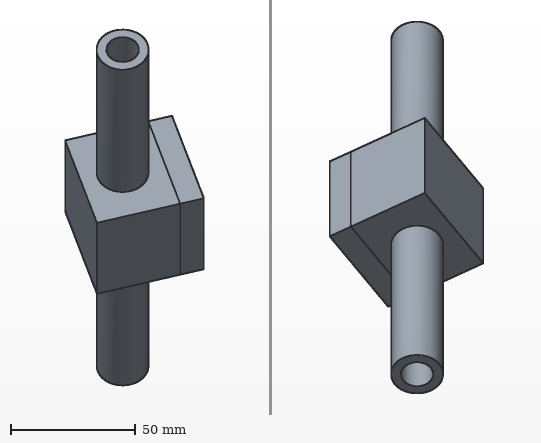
import cadquery as cq

tube_length = 200.0
tube_diameter = 21.0
bore_diameter = 13.0
block_width = 45.0
block_height = 45.0
block_depth = 35.0
plate_thickness = 10.0


def make_tube_block():
    """Block with a long tube standing out of its top and bottom, bored right through."""
    block = cq.Workplane("XY").box(block_width, block_depth, block_height)
    tube = cq.Workplane("XY").circle(tube_diameter / 2).extrude(tube_length / 2, both=True)
    bore = cq.Workplane("XY").circle(bore_diameter / 2).extrude(tube_length / 2, both=True)
    return block.union(tube).cut(bore)


def make_back_plate():
    """Flat plate lying flush against the +Y face of the block."""
    plate_center_y = (block_depth + plate_thickness) / 2
    plate = cq.Workplane("XY").box(block_width, plate_thickness, block_height)
    return plate.translate((0, plate_center_y, 0))


tube_block = make_tube_block()
back_plate = make_back_plate()

result = cq.Compound.makeCompound([tube_block.val(), back_plate.val()])